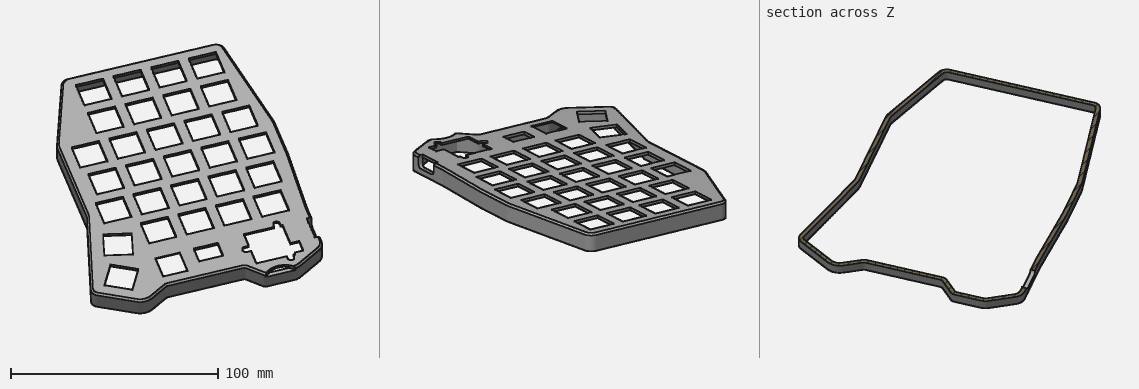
import math

import cadquery as cq

height = 9.2
plate_thickness = 1.5
wall_thickness = 2.4
rim_chamfer = 1.0

front_edge_y = 12.75
right_edge_x = 151.0
recessed_edge_x = 143.15
rear_edge_y = 115.8
rear_peak_y = 117.77

outline_corners = [
    (0.0, 28.2, 5.0),
    (40.6, front_edge_y, 8.0),
    (88.7, front_edge_y, 5.0),
    (137.2, -0.66, 3.9),
    (150.8, 22.8, 8.0),
    (recessed_edge_x, 35.8, 2.0),
    (recessed_edge_x, 75.3, 2.0),
    (right_edge_x, 83.0, 3.0),
    (right_edge_x, 99.7, 8.0),
    (141.4, rear_edge_y, 6.0),
    (115.0, rear_edge_y, 20.0),
    (79.5, rear_peak_y, 20.0),
    (57.0, rear_peak_y, 20.0),
    (0.0, 108.7, 4.5),
]

key_pitch = 19.05
key_size = 13.8
stagger = key_pitch / 8
first_column_x = 12.6
tall_column_middle_y = 66.65
key_columns = [
    (3, -1, 2),
    (3, -1, 2),
    (1, -2, 2),
    (0, -2, 2),
    (1, -2, 2),
    (2, -1, 2),
]

thumb_keys = [
    (110.85, 21.4, 15.0),
    (131.65, 16.4, 30.0),
]

upper_window = (128.9, 61.45, 8.7, 12.2)
lower_window = (131.2, 42.0, 12.4, 12.3)

recess_margin = 1.5
window_skin = 0.65
encoder_skin = 1.1

encoder_x = 132.95
encoder_y = 91.1
encoder_width = 20.0
encoder_length = 19.6
ear_span = 26.3
ear_width = 3.2
ear_y = 98.3
tab_x = 138.6
tab_width = 6.5
tab_top_y = 105.4
peg_x = 132.7
peg_width = 3.6
peg_bottom_y = 77.4

scoop_radius = 10.5
scoop_y = 90.9
scoop_depth_x = 3.4
scoop_floor_z = 7.0

port_x = 128.9
port_width = 13.0
port_depth = 2.5
port_floor_z = 3.0
port_radius = 2.0


def rounded_polygon(corners):
    """Closed wire through the corners, each one rounded with its own radius."""
    starts = []
    middles = []
    ends = []
    for i, (x, y, radius) in enumerate(corners):
        corner = cq.Vector(x, y)
        before = cq.Vector(*corners[i - 1][:2])
        after = cq.Vector(*corners[(i + 1) % len(corners)][:2])
        to_before = (before - corner).normalized()
        to_after = (after - corner).normalized()
        half_angle = to_before.getAngle(to_after) / 2
        tangent_length = radius / math.tan(half_angle)
        arc_gap = radius / math.sin(half_angle) - radius
        starts.append(corner + to_before * tangent_length)
        middles.append(corner + (to_before + to_after).normalized() * arc_gap)
        ends.append(corner + to_after * tangent_length)
    path = cq.Workplane("XY").moveTo(*ends[-1].toTuple()[:2])
    for start, middle, end in zip(starts, middles, ends):
        path = path.lineTo(*start.toTuple()[:2])
        path = path.threePointArc(middle.toTuple()[:2], end.toTuple()[:2])
    return path.close()


def opening(x, y, size_x, size_y, turn=0.0):
    """Rectangular prism through the full height, turned clockwise about its centre."""
    block = cq.Workplane("XY").box(size_x, size_y, height, centered=(True, True, False))
    return block.rotate((0, 0, 0), (0, 0, 1), -turn).translate((x, y, 0))


def cavity(skin):
    """Space inside the walls, up to the given skin below the top face."""
    return rounded_polygon(outline_corners).offset2D(-wall_thickness).extrude(height - skin)


def tray():
    body = rounded_polygon(outline_corners).extrude(height)
    body = body.faces(">Z").chamfer(rim_chamfer)
    return body.cut(cavity(plate_thickness))


def key_openings():
    cutters = []
    for column, (steps, lowest_row, highest_row) in enumerate(key_columns):
        x = first_column_x + column * key_pitch
        middle_y = tall_column_middle_y - steps * stagger
        for row in range(lowest_row, highest_row + 1):
            cutters.append(opening(x, middle_y + row * key_pitch, key_size, key_size))
    for x, y, turn in thumb_keys:
        cutters.append(opening(x, y, key_size, key_size, turn))
    return cutters


def plate_recess(x, y, size_x, size_y, skin):
    """Recess under the plate, larger than the given rectangle by the margin, kept inside the walls."""
    grow = 2 * recess_margin
    block = opening(x, y, size_x + grow, size_y + grow)
    return block.intersect(cavity(skin))


def encoder_opening():
    main = opening(encoder_x, encoder_y, encoder_width, encoder_length)
    ears = cq.Workplane("XY").center(encoder_x, ear_y).slot2D(ear_span, ear_width).extrude(height)
    tab = opening(tab_x, (encoder_y + tab_top_y) / 2, tab_width, tab_top_y - encoder_y)
    peg_length = encoder_y - peg_bottom_y
    peg = cq.Workplane("XY").center(peg_x, peg_bottom_y + peg_length / 2)
    peg = peg.slot2D(peg_length, peg_width, 90).extrude(height)
    return main.union(ears).union(tab).union(peg)


def encoder_recess():
    length = tab_top_y - peg_bottom_y
    return plate_recess(encoder_x, peg_bottom_y + length / 2, ear_span, length, encoder_skin)


def thumb_scoop():
    centre_x = right_edge_x - scoop_depth_x + scoop_radius
    scoop = cq.Workplane("XY").circle(scoop_radius).extrude(height)
    return scoop.translate((centre_x, scoop_y, scoop_floor_z))


def port_notch():
    notch = cq.Workplane("XY").box(port_width, 2 * port_depth, height, centered=(True, True, False))
    notch = notch.edges("|Y and <Z").fillet(port_radius)
    return notch.translate((port_x, rear_edge_y, port_floor_z))


result = tray()
for cutter in key_openings():
    result = result.cut(cutter)
for window in (upper_window, lower_window):
    result = result.cut(opening(*window))
result = result.cut(plate_recess(*lower_window, window_skin))
result = result.cut(encoder_opening())
result = result.cut(encoder_recess())
result = result.cut(thumb_scoop())
result = result.cut(port_notch())